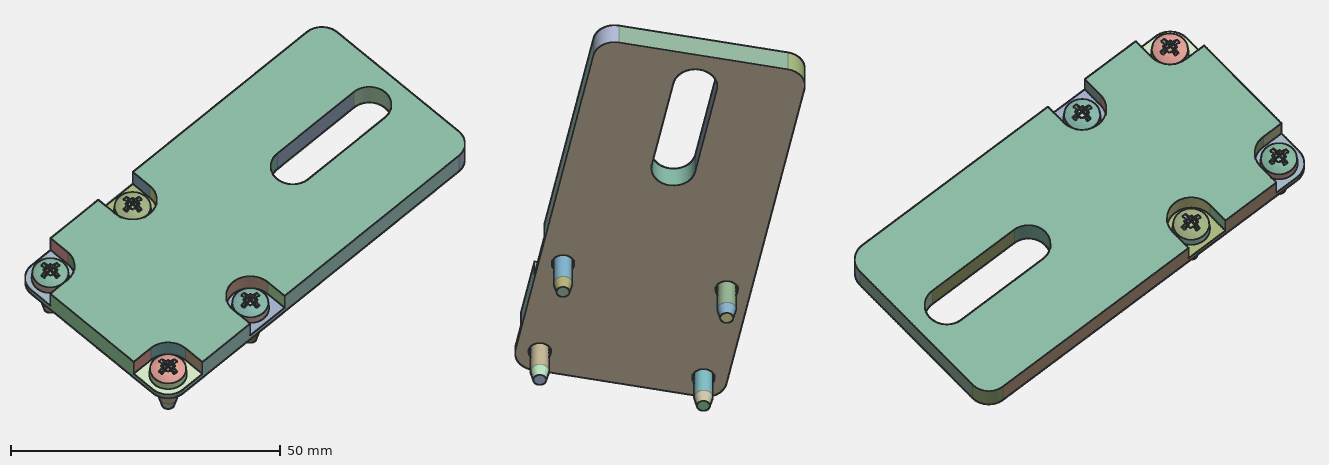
import cadquery as cq
import math

plate_width = 40.0
plate_length = 80.0
plate_thickness = 5.0
corner_radius = 4.0

slot_width = 8.2
slot_center_spacing = 20.0
slot_end_to_edge = 7.5

pocket_radius = 4.5
pocket_floor = 1.25
clearance_diameter = 4.2

shank_diameter = 3.5
shank_length = 9.5
point_length = 2.5
tip_diameter = 2.4
head_diameter = 7.0
head_rim_diameter = 6.7
head_height = 2.7
dome_radius = 5.6

wing_span = 4.8
wing_floor_span = 2.4
wing_width = 0.8
wing_depth = 1.3
core_mouth_width = 2.0
core_floor_width = 1.1
core_depth = 1.6

screw_x = plate_width / 2 - pocket_radius
front_screw_y = -plate_length / 2 + pocket_radius
screw_row_spacing = 21.5
rear_screw_y = front_screw_y + screw_row_spacing


def side_pocket(side, y):
    """U-shaped pocket volume opening to the -X (side = -1) or +X (side = +1) edge."""
    pocket_height = plate_thickness - pocket_floor
    floor = cq.Workplane("XY", origin=(side * screw_x, y, pocket_floor))
    round_end = floor.circle(pocket_radius).extrude(pocket_height)
    mouth = floor.center(side * pocket_radius / 2, 0).rect(pocket_radius, 2 * pocket_radius)
    return round_end.union(mouth.extrude(pocket_height))


def corner_pocket(side):
    """Front pocket volume, opening to a side edge and to the -Y edge."""
    toward_front = (
        cq.Workplane("XY", origin=(side * screw_x, front_screw_y - pocket_radius / 2, pocket_floor))
        .rect(2 * pocket_radius, pocket_radius)
        .extrude(plate_thickness - pocket_floor)
    )
    return side_pocket(side, front_screw_y).union(toward_front)


def make_plate():
    plate = (
        cq.Workplane("XY")
        .rect(plate_width, plate_length)
        .extrude(plate_thickness)
        .edges("|Z")
        .fillet(corner_radius)
    )
    slot_y = plate_length / 2 - slot_end_to_edge - slot_center_spacing / 2
    slot = (
        cq.Workplane("XY", origin=(0, slot_y, 0))
        .slot2D(slot_center_spacing + slot_width, slot_width, 90)
        .extrude(plate_thickness)
    )
    plate = plate.cut(slot)
    for side in (-1, 1):
        plate = plate.cut(corner_pocket(side))
        plate = plate.cut(side_pocket(side, rear_screw_y))
    clearance_holes = (
        cq.Workplane("XY")
        .pushPoints(screw_centers)
        .circle(clearance_diameter / 2)
        .extrude(pocket_floor)
    )
    return plate.cut(clearance_holes)


def cross_recess():
    """Cutter for the cross recess, with the top of the head at Z = 0."""
    wing = (
        cq.Workplane("XZ")
        .polyline([
            (-wing_span / 2, 0),
            (wing_span / 2, 0),
            (wing_floor_span / 2, -wing_depth),
            (-wing_floor_span / 2, -wing_depth),
        ])
        .close()
        .extrude(wing_width / 2, both=True)
    )
    core = (
        cq.Workplane("XY", origin=(0, 0, -core_depth))
        .rect(core_floor_width, core_floor_width)
        .workplane(offset=core_depth)
        .rect(core_mouth_width, core_mouth_width)
        .loft()
    )
    return wing.union(wing.rotate((0, 0, 0), (0, 0, 1), 90)).union(core)


def make_screw():
    """Screw on the Z axis, with the underside of its head at Z = 0."""
    rim_radius = head_rim_diameter / 2
    dome_center_z = head_height - dome_radius
    rim_z = dome_center_z + math.sqrt(dome_radius**2 - rim_radius**2)
    dome_mid_x = rim_radius / 2
    dome_mid_z = dome_center_z + math.sqrt(dome_radius**2 - dome_mid_x**2)
    blank = (
        cq.Workplane("XZ")
        .moveTo(0, -shank_length)
        .lineTo(tip_diameter / 2, -shank_length)
        .lineTo(shank_diameter / 2, point_length - shank_length)
        .lineTo(shank_diameter / 2, 0)
        .lineTo(head_diameter / 2, 0)
        .lineTo(rim_radius, rim_z)
        .threePointArc((dome_mid_x, dome_mid_z), (0, head_height))
        .close()
        .revolve(360, (0, 0, 0), (0, 1, 0))
    )
    return blank.cut(cross_recess().translate((0, 0, head_height)))


screw_centers = [
    (side * screw_x, y)
    for side in (-1, 1)
    for y in (front_screw_y, rear_screw_y)
]

plate = make_plate()
screws = [make_screw().translate((x, y, pocket_floor)) for x, y in screw_centers]

result = cq.Compound.makeCompound([plate.val(), *[screw.val() for screw in screws]])